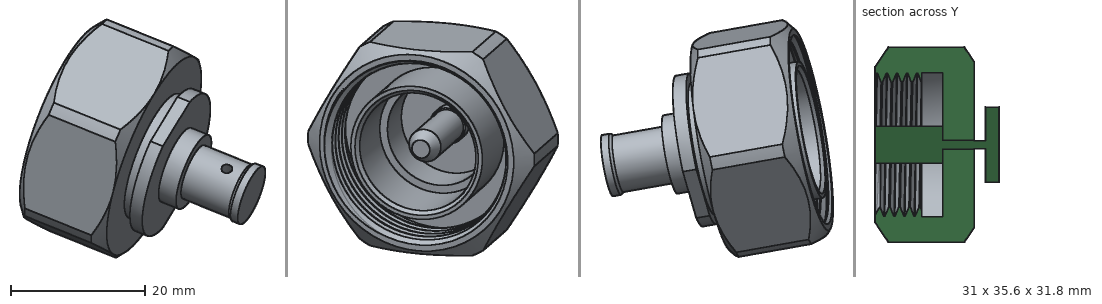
import cadquery as cq
import math


across_flats = 31.75
nut_corner_radius = 17.79
nut_length = 14.8
nut_front_face_radius = 15.25
nut_back_face_radius = across_flats / 2
nut_chamfer_angle = 50.0
hex_corner_count = 6

thread_minor_radius = 13.55
thread_major_radius = 14.55
thread_pitch = 1.5
thread_flank_angle = 30.0
thread_crest_width = 0.22
thread_start = -1.4
thread_turns = 6
mouth_radius = 14.32
relief_radius = 14.6
relief_start = 7.0
nut_floor = 10.1

body_length = 31.0
ferrule_radius = 10.33
collar_radius = 9.97
flange_radius = 11.43
flange_across_flats = 21.0
flange_start = 16.45
flange_end = 18.5
boss_radius = 5.95
boss_end = 21.4
barrel_radius = 4.31
barrel_end = 29.35
lip_radius = 4.65
lip_start = 29.8
solder_hole_diameter = 1.6
solder_hole_x = 26.9

socket_mouth_radius = 9.69
socket_radius = 9.13
socket_mouth_depth = socket_mouth_radius - socket_radius
socket_depth = 9.93
inner_bore_radius = 7.93
inner_bore_depth = flange_start

pin_radius = 2.5
pin_tip_radius = 1.4
pin_tip_x = 2.0
pin_cone_end = 3.9
pin_root_radius = 2.77
pin_root_length = 2.0


def turned(profile):
    """Revolve a closed (x, radius) profile about the X axis."""
    return cq.Workplane("XY").polyline(profile).close().revolve(360, (0, 0, 0), (1, 0, 0))


def hex_blank():
    """Hexagonal bar with two flats facing +Z and -Z, turned down by a cone at each end."""
    across_corners = across_flats / math.cos(math.pi / hex_corner_count)
    hexagon = cq.Workplane("YZ").polygon(hex_corner_count, across_corners).extrude(nut_length)
    slope = math.tan(math.radians(nut_chamfer_angle))
    front_chamfer = (nut_corner_radius - nut_front_face_radius) / slope
    back_chamfer = (nut_corner_radius - nut_back_face_radius) / slope
    envelope = turned([
        (0, 0),
        (0, nut_front_face_radius),
        (front_chamfer, nut_corner_radius),
        (nut_length - back_chamfer, nut_corner_radius),
        (nut_length, nut_back_face_radius),
        (nut_length, 0),
    ])
    return hexagon.intersect(envelope)


def thread_groove():
    """Helical cutter whose V profile starts on the +Y side, ahead of the nut's front face."""
    overlap = thread_pitch / 10
    flank_slope = math.tan(math.radians(thread_flank_angle))
    half_width = (thread_pitch - thread_crest_width) / 2
    half_root = half_width - (thread_major_radius - thread_minor_radius) * flank_slope
    half_mouth = half_width + overlap * flank_slope
    inner_radius = thread_minor_radius - overlap
    profile = (
        cq.Workplane("XZ")
        .polyline([
            (inner_radius, -half_mouth),
            (thread_major_radius, -half_root),
            (thread_major_radius, half_root),
            (inner_radius, half_mouth),
        ])
        .close()
    )
    path = cq.Wire.makeHelix(thread_pitch, thread_turns * thread_pitch, thread_minor_radius)
    groove = profile.sweep(cq.Workplane(path), isFrenet=True)
    return groove.rotate((0, 0, 0), (1, 1, 1), 120).translate((thread_start, 0, 0))


def coupling_nut():
    mouth_depth = mouth_radius - thread_minor_radius
    cavity = turned([
        (0, 0),
        (0, mouth_radius),
        (mouth_depth, thread_minor_radius),
        (relief_start, thread_minor_radius),
        (relief_start, relief_radius),
        (nut_floor, relief_radius),
        (nut_floor, collar_radius),
        (nut_length, collar_radius),
        (nut_length, 0),
    ])
    bore = cq.Workplane("YZ").circle(thread_minor_radius).extrude(nut_floor)
    return hex_blank().cut(bore).cut(thread_groove()).cut(cavity)


def body_shell():
    """Outside of the body: ferrule, collar, flange, boss, barrel and end lip."""
    return turned([
        (0, 0),
        (0, ferrule_radius),
        (nut_floor, ferrule_radius),
        (nut_floor, collar_radius),
        (flange_start, collar_radius),
        (flange_start, flange_radius),
        (flange_end, flange_radius),
        (flange_end, boss_radius),
        (boss_end, boss_radius),
        (boss_end, barrel_radius),
        (barrel_end, barrel_radius),
        (lip_start, lip_radius),
        (body_length, lip_radius),
        (body_length, 0),
    ])


def flange_flats(body):
    """Trim the flange to two parallel flats facing +Z and -Z."""
    width = 2 * flange_radius
    trim = cq.Workplane("XY").box(body_length, width, flange_across_flats)
    return body.intersect(trim.translate((body_length / 2, 0, 0)))


def socket_cavity():
    """Stepped bore with a chamfered mouth, leaving the centre pin standing."""
    bore = turned([
        (0, 0),
        (0, socket_mouth_radius),
        (socket_mouth_depth, socket_radius),
        (socket_depth, socket_radius),
        (socket_depth, inner_bore_radius),
        (inner_bore_depth, inner_bore_radius),
        (inner_bore_depth, 0),
    ])
    pin_root_start = inner_bore_depth - pin_root_length
    pin = turned([
        (pin_tip_x, 0),
        (pin_tip_x, pin_tip_radius),
        (pin_cone_end, pin_radius),
        (pin_root_start, pin_radius),
        (pin_root_start, pin_root_radius),
        (inner_bore_depth, pin_root_radius),
        (inner_bore_depth, 0),
    ])
    return bore.cut(pin)


def solder_hole():
    """Small hole from the top of the barrel down to its axis."""
    hole = cq.Workplane("XY").circle(solder_hole_diameter / 2).extrude(lip_radius)
    return hole.translate((solder_hole_x, 0, 0))


def connector_body():
    return flange_flats(body_shell()).cut(socket_cavity()).cut(solder_hole())


nut = coupling_nut()
body = connector_body()
result = cq.Compound.makeCompound([nut.val(), body.val()])